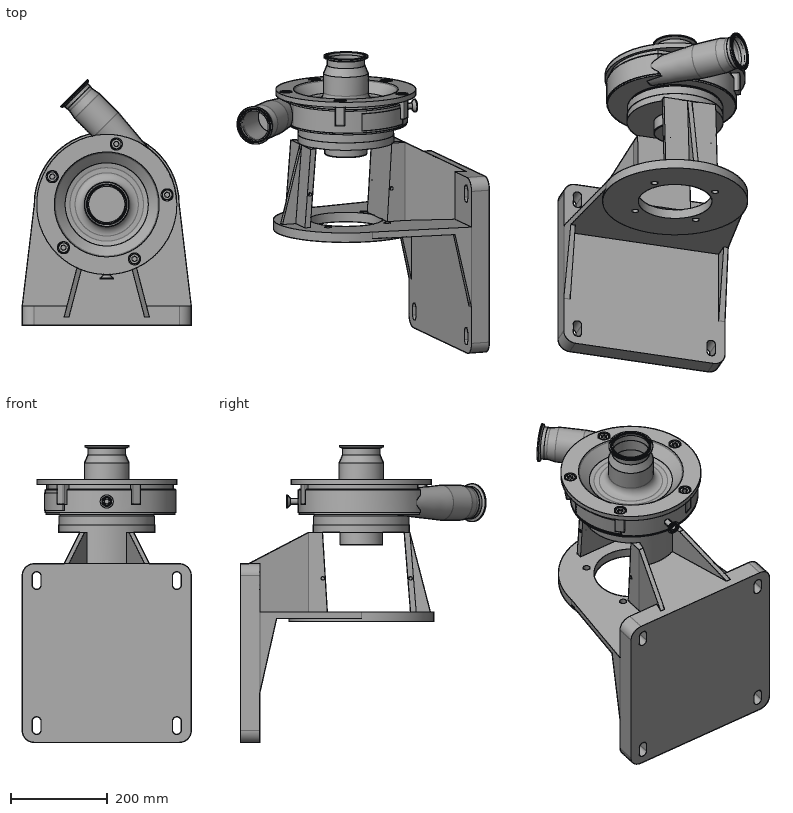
import cadquery as cq
import math


plate_width = 350.0
plate_height = 370.0
plate_thickness = 40.0
plate_outer_y = -250.0
plate_inner_y = plate_outer_y + plate_thickness
plate_corner_radius = 25.0
slot_width = 18.0
slot_length = 36.0
slot_pitch_x = 290.0
slot_pitch_z = 300.0

platform_top = 270.0
web_thickness = 14.0
disc_thickness = 20.0
disc_radius = 150.0
motor_bore_radius = 76.2
motor_bolt_radius = 93.0
motor_bolt_dia = 14.0
motor_bolt_count = 4
motor_bolt_first_angle = 45.0
side_gusset_depth = 35.0
side_gusset_foot_z = 101.0
side_gusset_thickness = 14.0

lantern_top = 450.0
lantern_flange_bottom = 434.5
lantern_radius = 99.5
wall_half_width = 56.0
wall_thickness = 12.0
rear_wall_inner_top_y = 88.5
rear_wall_lean = 13.0
rear_rib_foot_y = 143.0
rear_rib_thickness = 10.0
front_wall_inner_top_y = -80.0
front_wall_inner_foot_y = -70.0
front_rib_start_y = -109.5
front_rib_end_y = -233.0
front_rib_width = 10.0
front_rib_angle = 14.6
guard_hole_dia = 7.0
guard_hole_depth = 12.0
guard_hole_z = 339.5
guard_hole_rear_y = 102.0
guard_hole_front_y = -79.5
hub_radius = 44.2
hub_bottom = 408.0
hub_chamfer = 1.5

back_cover_top = 468.5
back_cover_radius = 99.0
back_cover_ring_radius = 97.0
casing_bottom = 472.0
casing_top = 524.3
casing_center_x = 8.0
casing_center_y = 5.0
casing_radius = 135.5
casing_foot_top = 475.5
casing_foot_inset = 1.7
casing_top_chamfer = 2.5
tongue_point = (-9.0, 121.0)
tongue_arc_middle = (-95.0, 81.0)
volute_end_angle = 60.0
casing_neck_inset = 5.5
pad_bottom = 480.0
pad_top = 516.0
pad_height = 1.7
pad_start_y = -91.0
pad_end_y = 15.0

cover_bottom = 533.5
cover_top = 544.3
cover_radius = 145.0
dish_rim_radius = 108.5
dish_rim_chamfer = 2.0
dish_wall_foot_radius = 86.0
dish_wall_foot_z = 521.5
dish_floor_outer_radius = 76.0
dish_floor_z = 519.0
inlet_blend_radius = 19.0

screw_count = 5
screw_first_angle = 9.0
screw_circle_radius = 126.5
counterbore_dia = 25.0
counterbore_depth = 6.0
screw_head_dia = 20.0
screw_head_height = 5.0
socket_size = 10.0
socket_depth = 4.0
lug_width = 20.0
lug_outer_radius = 136.0
lug_inner_radius = 115.0
lug_bottom = 492.5
lug_corner_radius = 2.0

inlet_top = 614.5
inlet_pipe_radius = 46.4
inlet_taper_bottom = 578.0
inlet_taper_top = 595.0
inlet_ferrule_neck_radius = 39.0
inlet_ferrule_radius = 45.5
ferrule_rim_thickness = 3.0
ferrule_thickness = 6.0
inlet_bore_radius = 37.5
inlet_lower_bore_radius = 43.0
inlet_lower_bore_top = 571.0
inlet_bore_floor = 500.0

outlet_angle = 135.0
outlet_offset = 115.2
outlet_z = 496.0
outlet_end = 210.5
outlet_ferrule_radius = 39.3
outlet_ferrule_neck_radius = 33.0
outlet_taper_end = 191.0
outlet_taper_start = 173.0
outlet_pipe_radius = 36.4
outlet_collar_radius = 33.6
outlet_collar_start = 197.0
outlet_cone_end = 118.0
outlet_root_radius = 26.5
outlet_bore_radius = 31.0

drain_z = 498.5
drain_end_y = -154.5
drain_root_y = -125.0
drain_stem_radius = 6.5
drain_rim_radius = 13.5
drain_rim_thickness = 2.0
drain_cone_length = 6.5
drain_bore_radius = 5.0

groove_width = 2.0
groove_depth = 1.0
inlet_groove_radius = 41.0
outlet_groove_radius = 35.0
drain_groove_radius = 9.2


def cylinder(radius, bottom, top):
    return cq.Workplane("XY").workplane(offset=bottom).circle(radius).extrude(top - bottom)


def box(x_range, y_range, z_range):
    size = [high - low for low, high in (x_range, y_range, z_range)]
    corner = (x_range[0], y_range[0], z_range[0])
    return cq.Workplane("XY").box(*size, centered=False).translate(corner)


def slab_from_yz(points, x_start, x_end):
    """Prism with the given (y, z) outline between two X positions."""
    outline = cq.Workplane("YZ").workplane(offset=x_start).polyline(points).close()
    return outline.extrude(x_end - x_start)


def turned(points):
    """Solid of revolution about Z from an (r, z) polygon."""
    return cq.Workplane("XZ").polyline(points).close().revolve(360, (0, 0, 0), (0, 1, 0))


def ring_groove(mean_radius, face_z):
    """Cutter for a shallow annular groove below a face."""
    outer = cylinder(mean_radius + groove_width / 2, face_z - groove_depth, face_z)
    return outer.cut(cylinder(mean_radius - groove_width / 2, face_z - groove_depth, face_z))


def make_mounting_plate():
    center_z = plate_height / 2
    face = cq.Workplane("XZ", origin=(0, plate_inner_y, center_z))
    plate = face.rect(plate_width, plate_height).extrude(plate_thickness)
    plate = plate.edges("|Y").fillet(plate_corner_radius)
    slots = (
        face.rarray(slot_pitch_x, slot_pitch_z, 2, 2)
        .slot2D(slot_length, slot_width, 90)
        .extrude(plate_thickness)
    )
    return plate.cut(slots)


def platform_outline(bottom, height):
    """Half disc widening in straight sides to the full plate width."""
    half_width = plate_width / 2
    return (
        cq.Workplane("XY")
        .workplane(offset=bottom)
        .moveTo(-half_width, plate_inner_y)
        .lineTo(half_width, plate_inner_y)
        .lineTo(disc_radius, 0)
        .threePointArc((0, disc_radius), (-disc_radius, 0))
        .close()
        .extrude(height)
    )


def make_platform():
    web_bottom = platform_top - web_thickness
    platform = platform_outline(web_bottom, web_thickness)
    platform = platform.union(cylinder(disc_radius, platform_top - disc_thickness, platform_top))

    gusset_points = [
        (plate_inner_y, side_gusset_foot_z),
        (plate_inner_y, platform_top),
        (plate_inner_y + side_gusset_depth, platform_top),
        (plate_inner_y + side_gusset_depth, web_bottom),
    ]
    half_width = plate_width / 2
    gussets = slab_from_yz(gusset_points, -half_width, half_width)
    inner_half_width = half_width - side_gusset_thickness
    middle = box(
        (-inner_half_width, inner_half_width), (plate_inner_y, 0), (side_gusset_foot_z, web_bottom)
    )
    flush_sides = platform_outline(0, plate_height)
    platform = platform.union(gussets.cut(middle).intersect(flush_sides))

    platform = platform.cut(cylinder(motor_bore_radius, 0, platform_top))
    bolt_holes = (
        cq.Workplane("XY")
        .polarArray(motor_bolt_radius, motor_bolt_first_angle, 360, motor_bolt_count)
        .circle(motor_bolt_dia / 2)
        .extrude(platform_top)
    )
    return platform.cut(bolt_holes)


def make_rear_wall():
    top_y = rear_wall_inner_top_y
    foot_y = top_y + rear_wall_lean
    wall_points = [
        (top_y, lantern_flange_bottom),
        (top_y + wall_thickness, lantern_flange_bottom),
        (foot_y + wall_thickness, platform_top),
        (foot_y, platform_top),
    ]
    rib_points = [
        (top_y, lantern_flange_bottom),
        (top_y + wall_thickness, lantern_flange_bottom),
        (rear_rib_foot_y, platform_top),
        (foot_y, platform_top),
    ]
    wall = slab_from_yz(wall_points, -wall_half_width, wall_half_width)
    return wall.union(slab_from_yz(rib_points, -rear_rib_thickness / 2, rear_rib_thickness / 2))


def make_front_wall():
    rib_length = front_rib_start_y - front_rib_end_y
    rib_spread = rib_length * math.tan(math.radians(front_rib_angle))
    rib_inner_x = wall_half_width - front_rib_width
    inner_slope = rib_spread / rib_length
    root_y = front_wall_inner_foot_y
    root_inner_x = rib_inner_x - inner_slope * (root_y - front_rib_start_y)
    rib_plan = [
        (wall_half_width, root_y),
        (wall_half_width, front_rib_start_y),
        (wall_half_width + rib_spread, front_rib_end_y),
        (rib_inner_x + rib_spread, front_rib_end_y),
        (root_inner_x, root_y),
    ]
    height = lantern_flange_bottom - platform_top
    base = cq.Workplane("XY").workplane(offset=platform_top)
    rib = base.polyline(rib_plan).close().extrude(height)
    shell = cylinder(lantern_radius, platform_top, lantern_flange_bottom)
    shell = shell.intersect(
        box(
            (-wall_half_width, wall_half_width),
            (-lantern_radius, root_y),
            (platform_top, lantern_flange_bottom),
        )
    )
    fill_plan = [
        (root_inner_x, root_y),
        (rib_inner_x + rib_spread, front_rib_end_y),
        (-rib_inner_x - rib_spread, front_rib_end_y),
        (-root_inner_x, root_y),
    ]
    fill = base.polyline(fill_plan).close().extrude(plate_height - platform_top)
    wall = shell.union(rib).union(rib.mirror("YZ")).union(fill)

    side_points = [
        (front_wall_inner_foot_y, platform_top),
        (front_wall_inner_top_y, lantern_flange_bottom),
        (front_rib_start_y, lantern_flange_bottom),
        (front_rib_end_y, plate_height),
        (front_rib_end_y, platform_top),
    ]
    return wall.intersect(slab_from_yz(side_points, -plate_width / 2, plate_width / 2))


def cut_guard_holes(walls):
    """Small blind holes in the side edges of both lantern walls."""
    for hole_y in (guard_hole_rear_y, guard_hole_front_y):
        for start_x in (-wall_half_width, wall_half_width - guard_hole_depth):
            hole = (
                cq.Workplane("YZ", origin=(start_x, hole_y, guard_hole_z))
                .circle(guard_hole_dia / 2)
                .extrude(guard_hole_depth)
            )
            walls = walls.cut(hole)
    return walls


def make_lantern():
    walls = cut_guard_holes(make_rear_wall().union(make_front_wall()))
    flange = cylinder(lantern_radius, lantern_flange_bottom, lantern_top)
    hub = cylinder(hub_radius, hub_bottom, lantern_top).faces("<Z").chamfer(hub_chamfer)
    return walls.union(flange).union(hub)


def casing_slab(inset, bottom, top):
    """Slab with the volute outline, drawn in by the given inset."""
    radius = casing_radius
    center_x = casing_center_x
    center_y = casing_center_y
    half_angle = math.radians(volute_end_angle / 2)
    end_angle = math.radians(volute_end_angle)
    end_middle = (center_x + radius * math.cos(half_angle), center_y + radius * math.sin(half_angle))
    end_point = (center_x + radius * math.cos(end_angle), center_y + radius * math.sin(end_angle))
    outline = (
        cq.Workplane("XY")
        .workplane(offset=bottom)
        .moveTo(*tongue_point)
        .threePointArc(tongue_arc_middle, (center_x - radius, center_y))
        .threePointArc((center_x, center_y - radius), (center_x + radius, center_y))
        .threePointArc(end_middle, end_point)
        .close()
    )
    if inset:
        outline = outline.offset2D(-inset)
    return outline.extrude(top - bottom)


def make_nameplate_pad():
    pad = cylinder(casing_radius + pad_height, pad_bottom, pad_top)
    pad = pad.translate((casing_center_x, casing_center_y, 0))
    return pad.intersect(box((-plate_width, 0), (pad_start_y, pad_end_y), (pad_bottom, pad_top)))


def make_casing():
    back_cover = cylinder(back_cover_radius, lantern_top, back_cover_top)
    back_ring = cylinder(back_cover_ring_radius, back_cover_top, casing_bottom)
    foot = casing_slab(casing_foot_inset, casing_bottom, casing_foot_top)
    body = casing_slab(0, casing_foot_top, casing_top).faces(">Z").chamfer(casing_top_chamfer)
    neck = casing_slab(casing_neck_inset, casing_top, cover_bottom)
    casing = back_cover.union(back_ring).union(foot).union(body).union(neck)
    return casing.union(make_nameplate_pad())


def make_outlet():
    """Pipe along its own axis, with a conical root, laid into the casing."""
    rim_back = outlet_end - ferrule_rim_thickness
    ferrule_back = outlet_end - ferrule_thickness
    pipe = turned(
        [
            (0, 0),
            (outlet_root_radius, 0),
            (outlet_pipe_radius, outlet_cone_end),
            (outlet_pipe_radius, outlet_taper_start),
            (outlet_ferrule_neck_radius, outlet_taper_end),
            (outlet_ferrule_neck_radius, outlet_collar_start),
            (outlet_collar_radius, outlet_collar_start),
            (outlet_collar_radius, ferrule_back),
            (outlet_ferrule_radius, rim_back),
            (outlet_ferrule_radius, outlet_end),
            (0, outlet_end),
        ]
    )
    bore = cylinder(outlet_bore_radius, outlet_cone_end, outlet_end)
    bore = bore.union(ring_groove(outlet_groove_radius, outlet_end))
    return lay_along_outlet(pipe), lay_along_outlet(bore)


def lay_along_outlet(shape):
    along_x = shape.rotate((0, 0, 0), (0, 1, 0), 90)
    placed = along_x.translate((0, -outlet_offset, outlet_z))
    return placed.rotate((0, 0, 0), (0, 0, 1), outlet_angle)


def make_drain():
    rim_back = drain_end_y + drain_rim_thickness
    nipple = (
        cq.Workplane("XY")
        .moveTo(0, drain_root_y)
        .lineTo(drain_stem_radius, drain_root_y)
        .lineTo(drain_stem_radius, rim_back + drain_cone_length)
        .lineTo(drain_rim_radius, rim_back)
        .lineTo(drain_rim_radius, drain_end_y)
        .lineTo(0, drain_end_y)
        .close()
        .revolve(360, (0, 0, 0), (0, 1, 0))
        .translate((0, 0, drain_z))
    )
    bore = (
        cq.Workplane("XZ", origin=(0, drain_root_y, drain_z))
        .circle(drain_bore_radius)
        .extrude(drain_root_y - drain_end_y)
    )
    groove = ring_groove(drain_groove_radius, 0).rotate((0, 0, 0), (1, 0, 0), 90)
    return nipple, bore.union(groove.translate((0, drain_end_y, drain_z)))


def make_dish():
    """Hollow of the cover: conical wall, flat floor and a rounded blend up to the inlet pipe."""
    blend_foot_radius = inlet_pipe_radius + inlet_blend_radius
    blend_top_z = dish_floor_z + inlet_blend_radius
    blend_sag = inlet_blend_radius * math.sqrt(0.5)
    blend_middle = (blend_foot_radius - blend_sag, blend_top_z - blend_sag)
    rim_foot_radius = dish_rim_radius - dish_rim_chamfer
    return (
        cq.Workplane("XZ")
        .moveTo(inlet_pipe_radius, cover_top)
        .lineTo(dish_rim_radius, cover_top)
        .lineTo(rim_foot_radius, cover_top - dish_rim_chamfer)
        .lineTo(dish_wall_foot_radius, dish_wall_foot_z)
        .lineTo(dish_floor_outer_radius, dish_floor_z)
        .lineTo(blend_foot_radius, dish_floor_z)
        .threePointArc(blend_middle, (inlet_pipe_radius, blend_top_z))
        .close()
        .revolve(360, (0, 0, 0), (0, 1, 0))
    )


def make_inlet():
    rim_back = inlet_top - ferrule_rim_thickness
    ferrule_back = inlet_top - ferrule_thickness
    pipe = turned(
        [
            (0, cover_bottom),
            (inlet_pipe_radius, cover_bottom),
            (inlet_pipe_radius, inlet_taper_bottom),
            (inlet_ferrule_neck_radius, inlet_taper_top),
            (inlet_ferrule_neck_radius, ferrule_back),
            (inlet_ferrule_radius, rim_back),
            (inlet_ferrule_radius, inlet_top),
            (0, inlet_top),
        ]
    )
    bore = turned(
        [
            (0, inlet_bore_floor),
            (inlet_lower_bore_radius, inlet_bore_floor),
            (inlet_lower_bore_radius, inlet_lower_bore_top),
            (inlet_bore_radius, inlet_lower_bore_top),
            (inlet_bore_radius, inlet_top),
            (0, inlet_top),
        ]
    )
    return pipe, bore.union(ring_groove(inlet_groove_radius, inlet_top))


def make_lug():
    lug = box(
        (lug_inner_radius, lug_outer_radius), (-lug_width / 2, lug_width / 2), (lug_bottom, cover_bottom)
    )
    return lug.faces(">X").edges("|Z or <Z").fillet(lug_corner_radius)


def make_screw_recess():
    """Counterbore with a socket head left standing in it."""
    recess = cylinder(counterbore_dia / 2, cover_top - counterbore_depth, cover_top)
    head_top = cover_top - counterbore_depth + screw_head_height
    head = cylinder(screw_head_dia / 2, cover_top - counterbore_depth, head_top)
    socket = (
        cq.Workplane("XY")
        .workplane(offset=head_top - socket_depth)
        .polygon(6, socket_size, circumscribed=True)
        .extrude(socket_depth)
    )
    return recess.cut(head.cut(socket)).translate((screw_circle_radius, 0, 0))


def make_pump():
    outlet, outlet_bore = make_outlet()
    inlet, inlet_bore = make_inlet()
    drain, drain_bore = make_drain()
    pump = make_casing().union(outlet).union(drain)
    pump = pump.union(cylinder(cover_radius, cover_bottom, cover_top))
    pump = pump.cut(make_dish()).union(inlet)
    pump = pump.cut(inlet_bore).cut(outlet_bore).cut(drain_bore)
    lug = make_lug()
    recess = make_screw_recess()
    for index in range(screw_count):
        angle = screw_first_angle + index * 360 / screw_count
        pump = pump.union(lug.rotate((0, 0, 0), (0, 0, 1), angle))
        pump = pump.cut(recess.rotate((0, 0, 0), (0, 0, 1), angle))
    return pump


bracket = make_mounting_plate().union(make_platform()).union(make_lantern())
result = bracket.union(make_pump())